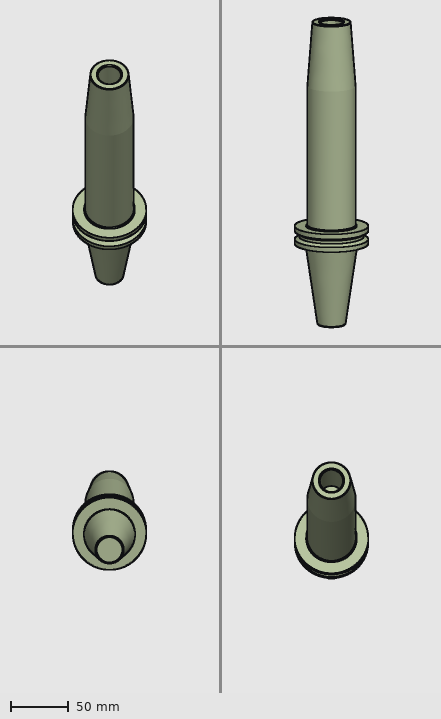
import cadquery as cq
import math

total_length = 268.5
taper_length = 68.5
flange_bottom = 71.7
flange_top = 87.5
nose_length = 57.0

flange_radius = 63.5 / 2
gauge_radius = 44.3 / 2
relief_radius = 21.5
body_radius = 21.0
tip_radius = 16.6
bore_radius = 10.0

taper_slope = 7 / 48
taper_end_radius = gauge_radius - taper_length * taper_slope
end_chamfer = 1.0
gauge_land = 1.5
relief_start = taper_length + gauge_land

groove_radius = 28.0
groove_floor_width = 2.7
groove_flank_angle = 30.0
groove_center = 79.5
groove_floor_bottom = groove_center - groove_floor_width / 2
groove_floor_top = groove_center + groove_floor_width / 2
groove_flank_height = (flange_radius - groove_radius) * math.tan(math.radians(groove_flank_angle))

base_collar_height = 1.0
base_collar_radius = body_radius + base_collar_height
tip_chamfer = 0.5
bore_chamfer = 1.0
bore_depth = 52.0


def make_holder():
    """Revolve the taper, grooved flange, body and conical nose around Z."""
    profile = [
        (0, 0),
        (taper_end_radius - end_chamfer, 0),
        (taper_end_radius + end_chamfer * taper_slope, end_chamfer),
        (gauge_radius, taper_length),
        (gauge_radius, relief_start),
        (relief_radius, relief_start),
        (relief_radius, flange_bottom),
        (flange_radius, flange_bottom),
        (flange_radius, groove_floor_bottom - groove_flank_height),
        (groove_radius, groove_floor_bottom),
        (groove_radius, groove_floor_top),
        (flange_radius, groove_floor_top + groove_flank_height),
        (flange_radius, flange_top),
        (base_collar_radius, flange_top),
        (body_radius, flange_top + base_collar_height),
        (body_radius, total_length - nose_length),
        (tip_radius, total_length - tip_chamfer),
        (tip_radius - tip_chamfer, total_length),
        (0, total_length),
    ]
    return cq.Workplane("XZ").polyline(profile).close().revolve(360, (0, 0), (0, 1))


def make_bore():
    """Blind tool bore with a chamfered mouth."""
    profile = [
        (0, total_length - bore_depth),
        (bore_radius, total_length - bore_depth),
        (bore_radius, total_length - bore_chamfer),
        (bore_radius + bore_chamfer, total_length),
        (0, total_length),
    ]
    return cq.Workplane("XZ").polyline(profile).close().revolve(360, (0, 0), (0, 1))


result = make_holder().cut(make_bore())